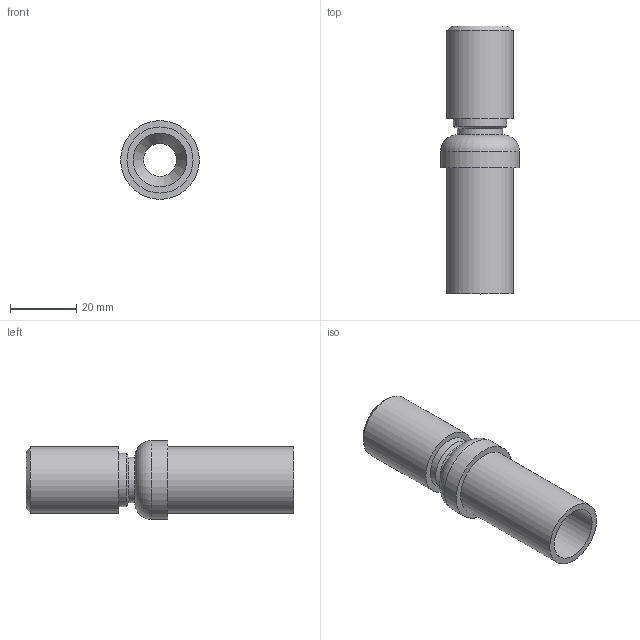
import cadquery as cq
import math

TUBE_DIAMETER = 20.0
FLANGE_DIAMETER = 23.8
NECK_DIAMETER = 13.8
COLLAR_DIAMETER = 16.2

FRONT_TUBE_LENGTH = 38.1
FLANGE_RIM_LENGTH = 5.0
NECK_LENGTH = 1.9
COLLAR_LENGTH = 3.0
REAR_TUBE_LENGTH = 28.0

COLLAR_TAPER_ANGLE = 30.0
REAR_CHAMFER = 1.3

BORE_DIAMETER = 16.2
THROUGH_HOLE_DIAMETER = 10.0
BORE_DEPTH = FRONT_TUBE_LENGTH
CONE_HALF_ANGLE = 30.0

flange_round_radius = (FLANGE_DIAMETER - NECK_DIAMETER) / 2

rim_end = FRONT_TUBE_LENGTH + FLANGE_RIM_LENGTH
flange_end = rim_end + flange_round_radius
neck_end = flange_end + NECK_LENGTH
collar_end = neck_end + COLLAR_LENGTH
total_length = collar_end + REAR_TUBE_LENGTH


def make_body():
    """Solid of revolution about Y: front tube, rounded flange, neck, collar, rear tube."""
    tube_radius = TUBE_DIAMETER / 2
    flange_radius = FLANGE_DIAMETER / 2
    neck_radius = NECK_DIAMETER / 2
    collar_radius = COLLAR_DIAMETER / 2
    collar_taper_length = (collar_radius - neck_radius) * math.tan(math.radians(COLLAR_TAPER_ANGLE))
    round_mid_offset = flange_round_radius * math.sqrt(0.5)
    round_middle = (neck_radius + round_mid_offset, rim_end + round_mid_offset)

    profile = (
        cq.Workplane("XY")
        .moveTo(0, 0)
        .lineTo(tube_radius, 0)
        .lineTo(tube_radius, FRONT_TUBE_LENGTH)
        .lineTo(flange_radius, FRONT_TUBE_LENGTH)
        .lineTo(flange_radius, rim_end)
        .threePointArc(round_middle, (neck_radius, flange_end))
        .lineTo(neck_radius, neck_end)
        .lineTo(collar_radius, neck_end + collar_taper_length)
        .lineTo(collar_radius, collar_end)
        .lineTo(tube_radius, collar_end)
        .lineTo(tube_radius, total_length - REAR_CHAMFER)
        .lineTo(tube_radius - REAR_CHAMFER, total_length)
        .lineTo(0, total_length)
        .close()
    )
    return profile.revolve(360, (0, 0, 0), (0, 1, 0))


def make_bore():
    """Wide front bore that narrows through a cone into a smaller through hole."""
    bore_radius = BORE_DIAMETER / 2
    hole_radius = THROUGH_HOLE_DIAMETER / 2
    cone_length = (bore_radius - hole_radius) / math.tan(math.radians(CONE_HALF_ANGLE))

    profile = (
        cq.Workplane("XY")
        .moveTo(0, 0)
        .lineTo(bore_radius, 0)
        .lineTo(bore_radius, BORE_DEPTH)
        .lineTo(hole_radius, BORE_DEPTH + cone_length)
        .lineTo(hole_radius, total_length)
        .lineTo(0, total_length)
        .close()
    )
    return profile.revolve(360, (0, 0, 0), (0, 1, 0))


result = make_body().cut(make_bore())